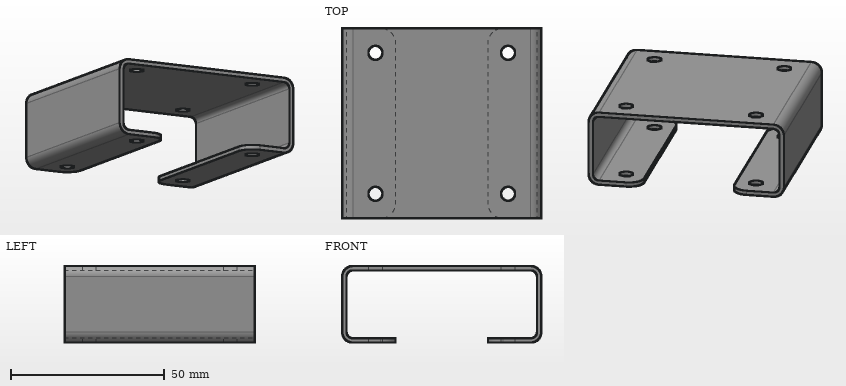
import cadquery as cq

width = 65.0
length = 62.0
height = 25.0

thickness = 1.5
outer_bend_radius = 3.5
inner_bend_radius = outer_bend_radius - thickness

lip_width = 17.5
lip_corner_radius = 5.0

hole_diameter = 4.5
hole_spacing_x = 43.2
hole_spacing_y = 45.95


def make_tube():
    """Closed rectangular tube with rounded bends, centred on the origin."""
    outer = cq.Workplane("XY").box(width, length, height).edges("|Y").fillet(outer_bend_radius)
    inner = (
        cq.Workplane("XY")
        .box(width - 2 * thickness, length, height - 2 * thickness)
        .edges("|Y")
        .fillet(inner_bend_radius)
    )
    return outer.cut(inner)


def make_bottom_opening():
    """Cutter for the gap between the lips, flaring at the ends to round the lip corners."""
    half_gap = width / 2 - lip_width
    half_length = length / 2
    gap = cq.Workplane("XY").box(2 * half_gap, length, thickness)
    for side_x in (-1, 1):
        for side_y in (-1, 1):
            corner_x = side_x * half_gap
            corner_y = side_y * half_length
            square = (
                cq.Workplane("XY")
                .center(corner_x + side_x * lip_corner_radius / 2, corner_y - side_y * lip_corner_radius / 2)
                .box(lip_corner_radius, lip_corner_radius, thickness)
            )
            rounding = (
                cq.Workplane("XY")
                .center(corner_x + side_x * lip_corner_radius, corner_y - side_y * lip_corner_radius)
                .cylinder(thickness, lip_corner_radius)
            )
            gap = gap.union(square.cut(rounding))
    return gap.translate((0, 0, (thickness - height) / 2))


def make_holes():
    """Cutters for the vertical holes through the top and the lips."""
    return (
        cq.Workplane("XY")
        .rect(hole_spacing_x, hole_spacing_y, forConstruction=True)
        .vertices()
        .circle(hole_diameter / 2)
        .extrude(height, both=True)
    )


result = make_tube().cut(make_bottom_opening()).cut(make_holes())